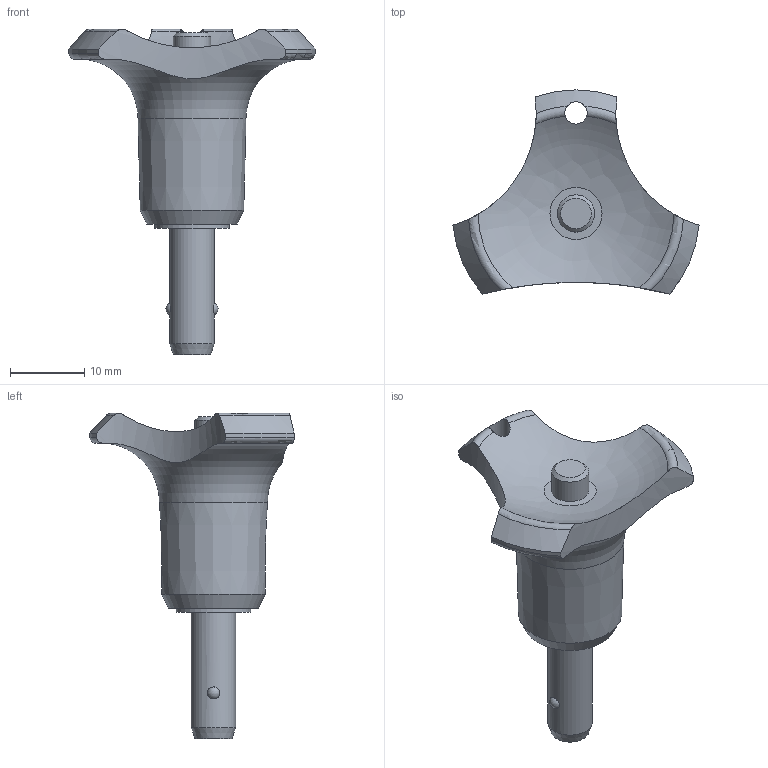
import cadquery as cq
import math


shank_radius = 3.0
shank_length = 17.0
tip_radius = 2.5
tip_height = 1.5
ball_radius = 0.9
ball_reach = 3.5
ball_z = -10.85

flange_radius = 5.0
flange_height = 0.55
body_bottom_radius = 6.95
body_top_radius = 7.25
body_bevel_width = 0.9
body_bevel_top = 2.4
body_top = 14.75

rim_radius = 16.6
rim_bottom = 22.7
rim_round = 0.8
slope_bottom = 24.05
slope_top_radius = 14.46
slope_top = 26.35
crest_radius = 13.8
head_top = 26.7

dish_floor_radius = 3.5
dish_floor_z = 22.55
dish_mid_radius = 9.4
dish_mid_z = 24.28
dish_edge_radius = 13.15
dish_edge_z = 26.4

button_radius = 2.5
button_top = 26.2
button_chamfer = 0.45

cutter_top = head_top + 1.0

side_scallop_radius = 15.76
side_scallop_x = 21.1
side_scallop_y = 13.49
front_scallop_radius = 50.75
front_scallop_edge_y = -9.25

lanyard_hole_radius = 1.5
lanyard_hole_y = 13.5


def upright_cylinder(x, y, radius, bottom, top):
    """Cylinder along Z between two heights."""
    return cq.Workplane("XY", origin=(x, y, bottom)).circle(radius).extrude(top - bottom)


def make_handle():
    """Revolve the flange, body, flare, rounded rim and dish as one profile."""
    flare_radius = rim_bottom - body_top
    flare_center_radius = body_top_radius + flare_radius
    half_way = flare_radius * math.sqrt(0.5)
    profile = (
        cq.Workplane("XZ")
        .lineTo(flange_radius, 0)
        .lineTo(flange_radius, flange_height)
        .lineTo(body_bottom_radius - body_bevel_width, flange_height)
        .lineTo(body_bottom_radius, body_bevel_top)
        .lineTo(body_top_radius, body_top)
        .threePointArc(
            (flare_center_radius - half_way, body_top + half_way),
            (flare_center_radius, rim_bottom),
        )
        .lineTo(rim_radius - rim_round, rim_bottom)
        .radiusArc((rim_radius, rim_bottom + rim_round), -rim_round)
        .lineTo(rim_radius, slope_bottom)
        .lineTo(slope_top_radius, slope_top)
        .threePointArc((crest_radius, head_top), (dish_edge_radius, dish_edge_z))
        .threePointArc((dish_mid_radius, dish_mid_z), (dish_floor_radius, dish_floor_z))
        .lineTo(0, dish_floor_z)
        .close()
    )
    return profile.revolve(360, (0, 0, 0), (0, 1, 0))


def cut_scallops(handle):
    """Cut the two mirrored side scallops and the shallow one facing -Y."""
    front_scallop_y = front_scallop_edge_y - front_scallop_radius
    scallops = (
        (side_scallop_x, side_scallop_y, side_scallop_radius),
        (-side_scallop_x, side_scallop_y, side_scallop_radius),
        (0, front_scallop_y, front_scallop_radius),
    )
    for x, y, radius in scallops:
        handle = handle.cut(upright_cylinder(x, y, radius, body_top, cutter_top))
    return handle


def cut_lanyard_hole(handle):
    """Drill the hole straight through the +Y arm."""
    return handle.cut(upright_cylinder(0, lanyard_hole_y, lanyard_hole_radius, body_top, cutter_top))


def make_button():
    """Chamfered release button."""
    button = upright_cylinder(0, 0, button_radius, dish_floor_z, button_top)
    return button.faces(">Z").chamfer(button_chamfer)


def make_shank():
    """Round shank with a tapered tip and a locking ball on each X side."""
    shank = upright_cylinder(0, 0, shank_radius, -shank_length, 0)
    shank = shank.faces("<Z").chamfer(tip_height, shank_radius - tip_radius)
    ball_x = ball_reach - ball_radius
    for x in (-ball_x, ball_x):
        shank = shank.union(cq.Workplane("XY", origin=(x, 0, ball_z)).sphere(ball_radius))
    return shank


handle = cut_lanyard_hole(cut_scallops(make_handle()))
result = handle.union(make_button()).union(make_shank())